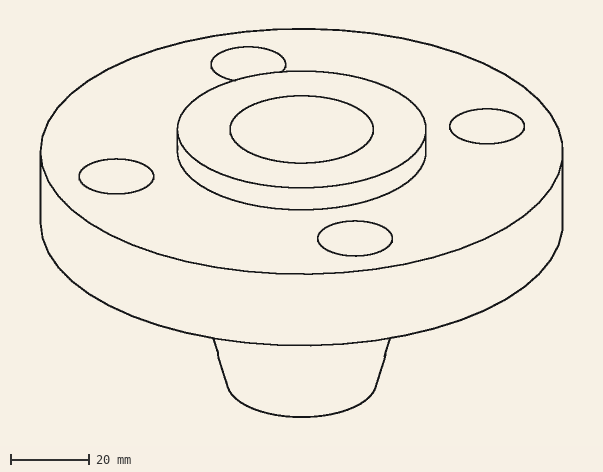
import cadquery as cq
import math

flange_diameter = 133.35
flange_thickness = 20.64
raised_face_diameter = 63.5
raised_face_height = 6.35
overall_height = 73.03

hub_base_diameter = 63.5
hub_fillet_radius = 8.0
pipe_diameter = 42.9
weld_tip_diameter = 38.2
weld_bevel_height = 8.5
pipe_land_height = 1.0

bore_diameter = 36.6
bolt_circle_diameter = 98.43
bolt_hole_diameter = 19.05
bolt_hole_count = 4

flange_top = -raised_face_height
flange_bottom = flange_top - flange_thickness
weld_tip = -overall_height
land_bottom = weld_tip + weld_bevel_height
land_top = land_bottom + pipe_land_height


def hub_fillet_points():
    """Start, middle and end of the arc tangent to the flange underside and the hub cone."""
    hub_base_radius = hub_base_diameter / 2
    taper_run = hub_base_radius - pipe_diameter / 2
    taper = math.atan2(taper_run, flange_bottom - land_top)
    arc_angle = math.pi / 2 - taper
    tangent_length = hub_fillet_radius * math.tan(arc_angle / 2)
    center_radius = hub_base_radius + tangent_length
    center_z = flange_bottom - hub_fillet_radius

    def on_arc(angle):
        radius = center_radius - hub_fillet_radius * math.sin(angle)
        return radius, center_z + hub_fillet_radius * math.cos(angle)

    return on_arc(0), on_arc(arc_angle / 2), on_arc(arc_angle)


def turned_body():
    """Flange, raised face and hub revolved about Z, with the bore left open."""
    bore_radius = bore_diameter / 2
    fillet_start, fillet_middle, fillet_end = hub_fillet_points()
    profile = (
        cq.Workplane("XZ")
        .moveTo(bore_radius, 0)
        .lineTo(raised_face_diameter / 2, 0)
        .lineTo(raised_face_diameter / 2, flange_top)
        .lineTo(flange_diameter / 2, flange_top)
        .lineTo(flange_diameter / 2, flange_bottom)
        .lineTo(*fillet_start)
        .threePointArc(fillet_middle, fillet_end)
        .lineTo(pipe_diameter / 2, land_top)
        .lineTo(pipe_diameter / 2, land_bottom)
        .lineTo(weld_tip_diameter / 2, weld_tip)
        .lineTo(bore_radius, weld_tip)
        .close()
    )
    return profile.revolve(360, (0, 0, 0), (0, 1, 0))


def bolt_holes():
    """Through cutters on the bolt circle, the first one on the X axis."""
    return (
        cq.Workplane("XY")
        .workplane(offset=flange_bottom)
        .polarArray(bolt_circle_diameter / 2, 0, 360, bolt_hole_count)
        .circle(bolt_hole_diameter / 2)
        .extrude(flange_thickness)
    )


result = turned_body().cut(bolt_holes())